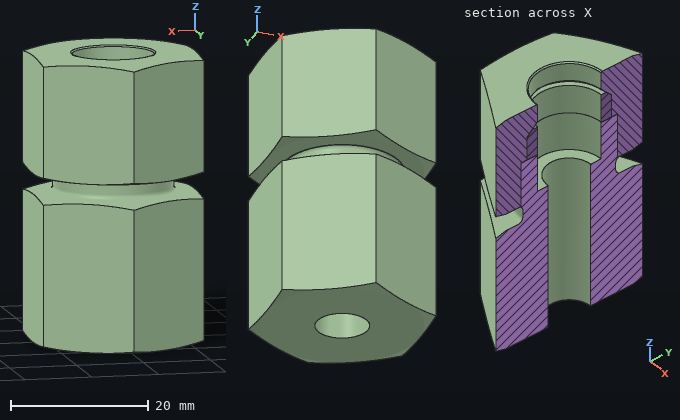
import cadquery as cq
import math

total_height = 42.5
across_flats = 24.05
across_corners = across_flats / math.cos(math.radians(30))
hex_chamfer_angle = 15.0

body_hex_height = 22.0
through_diameter = 8.0
tube_diameter = 12.0
neck_diameter = 17.7
thread_diameter = 18.35
neck_fillet = 0.9
neck_straight_height = 1.3
body_end = 33.15
tube_stop = 26.35

nut_bottom = 25.0
rim_chamfer = 0.2
lip_height = 3.35
lip_bottom = total_height - lip_height

ring_diameter = 16.0
ring_gap = 0.9
ring_top = lip_bottom - ring_gap
seat_bottom = lip_bottom - (ring_diameter - tube_diameter) / 2


def chamfered_hexagon(bottom, top):
    """Hexagonal bar with flats facing +X and -X and both ends turned to a cone."""
    flat_radius = across_flats / 2
    corner_radius = across_corners / 2
    drop = (corner_radius - flat_radius) * math.tan(math.radians(hex_chamfer_angle))
    bar = (
        cq.Workplane("XY", origin=(0, 0, bottom))
        .polygon(6, across_corners)
        .extrude(top - bottom)
        .rotate((0, 0, 0), (0, 0, 1), 30)
    )
    turned = (
        cq.Workplane("XZ")
        .moveTo(0, bottom)
        .lineTo(flat_radius, bottom)
        .lineTo(corner_radius, bottom + drop)
        .lineTo(corner_radius, top - drop)
        .lineTo(flat_radius, top)
        .lineTo(0, top)
        .close()
        .revolve(360, (0, 0, 0), (0, 1, 0))
    )
    return bar.intersect(turned)


def cylinder(diameter, bottom, top):
    return cq.Workplane("XY", origin=(0, 0, bottom)).circle(diameter / 2).extrude(top - bottom)


def make_neck():
    """Turned neck with a filleted groove below the threaded end."""
    neck_radius = neck_diameter / 2
    thread_radius = thread_diameter / 2
    straight_bottom = body_hex_height + neck_fillet
    straight_top = straight_bottom + neck_straight_height
    arc_center = neck_radius + neck_fillet
    thread_start = straight_top + math.sqrt(neck_fillet**2 - (arc_center - thread_radius) ** 2)
    return (
        cq.Workplane("XZ")
        .moveTo(0, body_hex_height)
        .lineTo(arc_center, body_hex_height)
        .radiusArc((neck_radius, straight_bottom), neck_fillet)
        .lineTo(neck_radius, straight_top)
        .radiusArc((thread_radius, thread_start), neck_fillet)
        .lineTo(thread_radius, body_end)
        .lineTo(0, body_end)
        .close()
        .revolve(360, (0, 0, 0), (0, 1, 0))
    )


def make_body():
    body = chamfered_hexagon(0, body_hex_height).union(make_neck())
    through_hole = cylinder(through_diameter, 0, body_end)
    tube_socket = cylinder(tube_diameter, tube_stop, body_end)
    return body.cut(through_hole).cut(tube_socket)


def make_nut():
    tube_radius = tube_diameter / 2
    thread_radius = thread_diameter / 2
    ring_radius = ring_diameter / 2
    bore = (
        cq.Workplane("XZ")
        .moveTo(0, nut_bottom)
        .lineTo(thread_radius, nut_bottom)
        .lineTo(thread_radius, body_end)
        .lineTo(ring_radius, body_end)
        .lineTo(ring_radius, seat_bottom)
        .lineTo(tube_radius, lip_bottom)
        .lineTo(tube_radius, total_height - rim_chamfer)
        .lineTo(tube_radius + rim_chamfer, total_height)
        .lineTo(0, total_height)
        .close()
        .revolve(360, (0, 0, 0), (0, 1, 0))
    )
    return chamfered_hexagon(nut_bottom, total_height).cut(bore)


def make_ring():
    ring = cylinder(ring_diameter, body_end, ring_top)
    ring = ring.faces(">Z").edges().chamfer(ring_top - seat_bottom)
    return ring.cut(cylinder(tube_diameter, body_end, ring_top))


body = make_body()
nut = make_nut()
ring = make_ring()

result = cq.Compound.makeCompound([part.solids().val() for part in (body, nut, ring)])